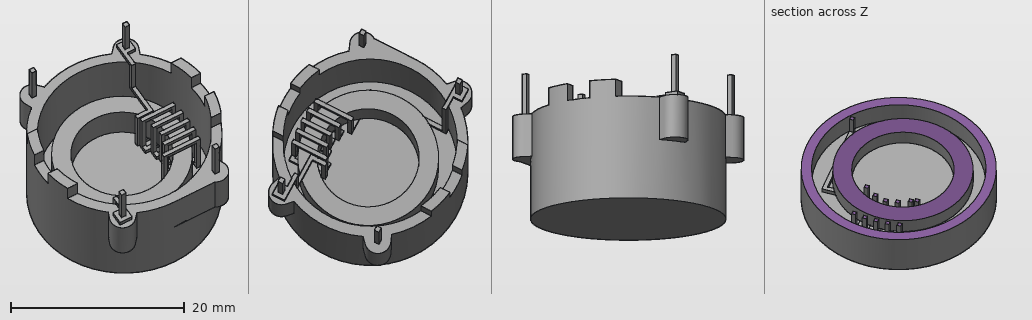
import cadquery as cq
import math

overall_length = 23

outer_radius = 11.25
inner_radius = 10.0
rim_height = 12.0
floor_thickness = 2.5

tab_height = 2.0
tab_inner_x = 1.5
tab_outer_x = 4.48

lug_radius = 1.5
lug_bottom = 7.0
lug_root_angle = 8.4
pin_x = overall_length / 2 - lug_radius
pin_y = 6.25

pin_width = 0.6
pin_top = 17.0

core_x = -0.5
core_outer_radius = 8.1
core_inner_radius = 5.86
core_bottom = 3.25
core_top = 7.25

wire = 0.5
pad_width = 1.6
winding_top = 8.0
first_turn_x = -2.97
turn_pitch = 1.38
turn_step = 0.67
turn_outer_y = [8.28, 8.49, 8.53, 8.49, 8.28]
turn_inner_y = [4.3, 4.95, 5.22, 4.8, 3.89]
lead_in_y = 4.05
lead_in_drop_x = -7.64
lead_out_x = 7.65

low_z = floor_thickness + wire / 2
high_z = winding_top - wire / 2
rim_z = rim_height + wire / 2
lead_y = pin_y - pad_width / 2 + wire / 2


def cylinder(radius, bottom, top, x=0, y=0):
    return cq.Workplane("XY", origin=(x, y, bottom)).circle(radius).extrude(top - bottom)


def box_between(low, high):
    """Box given by its lowest and its highest corner."""
    size = [b - a for a, b in zip(low, high)]
    return cq.Workplane("XY").box(*size, centered=False).translate(tuple(low))


def make_lug(x, y):
    """Round lug with straight flanks, tangent to it, that run to the cup wall."""
    direction = math.atan2(y, x)
    points = []
    for side in (1, -1):
        root_direction = direction + side * math.radians(lug_root_angle)
        root_x = outer_radius * math.cos(root_direction)
        root_y = outer_radius * math.sin(root_direction)
        root_distance = math.hypot(root_x - x, root_y - y)
        to_root = math.atan2(root_y - y, root_x - x)
        tangent = to_root - side * math.acos(lug_radius / root_distance)
        flank = [
            (root_x, root_y),
            (x + lug_radius * math.cos(tangent), y + lug_radius * math.sin(tangent)),
        ]
        points += flank if side == 1 else flank[::-1]
    web = cq.Workplane("XY", origin=(0, 0, lug_bottom)).polyline(points).close()
    return cylinder(lug_radius, lug_bottom, rim_height, x, y).union(web.extrude(rim_height - lug_bottom))


def make_tabs():
    """Four pieces of the cup wall that rise above the rim."""
    top = rim_height + tab_height
    ring = cylinder(outer_radius, rim_height, top).cut(cylinder(inner_radius, rim_height, top))
    slabs = cq.Workplane("XY")
    for left in (-tab_outer_x, tab_inner_x):
        right = left + tab_outer_x - tab_inner_x
        slabs = slabs.union(box_between((left, -outer_radius, rim_height), (right, outer_radius, top)))
    return ring.intersect(slabs)


def make_housing():
    cup = cylinder(outer_radius, 0, rim_height)
    for x in (-pin_x, pin_x):
        for y in (-pin_y, pin_y):
            cup = cup.union(make_lug(x, y))
    cup = cup.union(box_between((pin_x - lug_radius, 0, lug_bottom), (outer_radius, pin_y, rim_height)))
    cup = cup.cut(cylinder(inner_radius, floor_thickness, rim_height))
    return cup.union(make_tabs())


def wire_path():
    """Corner points of the wire's centre line, from the -X pad to the +X pad."""
    lead_in_x = first_turn_x - turn_step
    points = [
        (-pin_x, lead_y, rim_z),
        (lead_in_drop_x, lead_y, rim_z),
        (lead_in_drop_x, lead_y, high_z),
        (lead_in_x, lead_y, high_z),
        (lead_in_x, lead_in_y, high_z),
        (lead_in_x, lead_in_y, low_z),
    ]
    inner_y = lead_in_y
    for turn, outer_y in enumerate(turn_outer_y):
        upper_x = first_turn_x + turn * turn_pitch
        lower_x = upper_x - turn_step
        points += [(lower_x, inner_y, low_z), (lower_x, outer_y, low_z), (upper_x, outer_y, low_z)]
        inner_y = turn_inner_y[turn]
        points += [(upper_x, outer_y, high_z), (upper_x, inner_y, high_z), (upper_x, inner_y, low_z)]
    points += [
        (lead_out_x, inner_y, low_z),
        (lead_out_x, -lead_y, low_z),
        (lead_out_x, -lead_y, rim_z),
        (pin_x, -lead_y, rim_z),
    ]
    return points


def make_winding():
    """Square wire along its path, with a pad around the pin at each end."""
    winding = cq.Workplane("XY")
    for x, y in ((-pin_x, pin_y), (pin_x, -pin_y)):
        winding = winding.union(cq.Workplane("XY").box(pad_width, pad_width, wire).translate((x, y, rim_z)))
    path = wire_path()
    for start, end in zip(path, path[1:]):
        low = [min(a, b) - wire / 2 for a, b in zip(start, end)]
        high = [max(a, b) + wire / 2 for a, b in zip(start, end)]
        winding = winding.union(box_between(low, high))
    return winding


def make_pin(x, y):
    half = pin_width / 2
    return box_between((x - half, y - half, rim_height), (x + half, y + half, pin_top))


def make_core():
    hole = cylinder(core_inner_radius, core_bottom, core_top, core_x)
    return cylinder(core_outer_radius, core_bottom, core_top, core_x).cut(hole)


pins = [make_pin(x, y) for x in (-pin_x, pin_x) for y in (-pin_y, pin_y)]

core = make_core()

wound_housing = make_housing().union(make_winding())
for pin in pins:
    wound_housing = wound_housing.cut(pin)

result = cq.Compound.makeCompound([wound_housing.solids().val(), core.val(), *[pin.val() for pin in pins]])